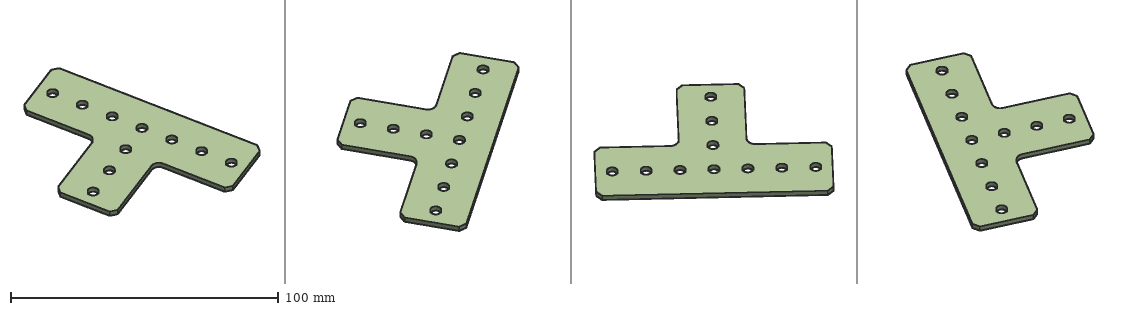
import cadquery as cq

length = 88.9
holes_across = 7
holes_down_stem = 3
thickness = 2.3
hole_diameter = 4.2
corner_chamfer = 2.2
inner_corner_radius = 3.2

pitch = length / holes_across
arm_width = 2 * pitch
stem_length = (holes_down_stem - 0.5) * pitch

bar_top = arm_width / 2
bar_bottom = -arm_width / 2
stem_end = bar_bottom - stem_length
half_length = length / 2
half_stem = arm_width / 2


def box_plate(width, low_y, high_y):
    """Plate centred on X, spanning low_y to high_y."""
    return (
        cq.Workplane("XY")
        .center(0, (low_y + high_y) / 2)
        .rect(width, high_y - low_y)
        .extrude(thickness)
    )


def vertical_edges_at(points):
    """Selector for the upright edges standing on the given XY points."""
    reach = 0.1
    selector = None
    for x, y in points:
        box = cq.selectors.BoxSelector(
            (x - reach, y - reach, 0), (x + reach, y + reach, thickness)
        )
        selector = box if selector is None else selector + box
    return selector


plate = box_plate(length, bar_bottom, bar_top).union(box_plate(arm_width, stem_end, bar_top))

inner_corners = [(side * half_stem, bar_bottom) for side in (-1, 1)]
outer_corners = []
for side in (-1, 1):
    outer_corners.append((side * half_length, bar_top))
    outer_corners.append((side * half_length, bar_bottom))
    outer_corners.append((side * half_stem, stem_end))

plate = plate.edges("|Z").edges(vertical_edges_at(inner_corners)).fillet(inner_corner_radius)
plate = plate.edges("|Z").edges(vertical_edges_at(outer_corners)).chamfer(corner_chamfer)

bar_holes = [((i - (holes_across - 1) / 2) * pitch, 0) for i in range(holes_across)]
stem_holes = [(0, -(i + 1) * pitch) for i in range(holes_down_stem)]
hole_cutters = (
    cq.Workplane("XY")
    .pushPoints(bar_holes + stem_holes)
    .circle(hole_diameter / 2)
    .extrude(thickness)
)

result = plate.cut(hole_cutters)